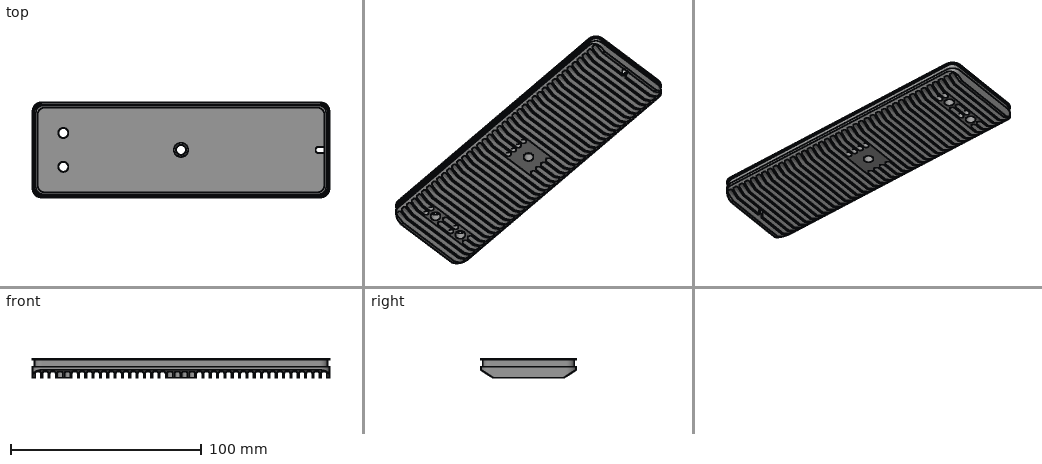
import cadquery as cq

LENGTH = 156.0
WIDTH = 50.0
HEIGHT = 10.0
CORNER_RADIUS = 5.0

BASE_HEIGHT = 6.0
LIP_THICKNESS = 0.5
NECK_INSET = 1.0

BEVEL_HEIGHT = 4.2
BEVEL_WIDTH = 6.5

UPPER_POCKET_INSET = 1.9
UPPER_POCKET_RADIUS = 3.3
LOWER_POCKET_INSET = 2.8
LOWER_POCKET_RADIUS = 3.6
LEDGE_LEVEL = 6.0
FLOOR_LEVEL = 5.0

SLOT_COUNT = 40
SLOT_WIDTH = 3.0
SLOT_DEPTH = 3.3
SLOT_FILLET = 0.8
END_FIN_THICKNESS = 1.5
FIRST_SLOT_X = (SLOT_WIDTH - LENGTH) / 2 + END_FIN_THICKNESS
SLOT_PITCH = -2 * FIRST_SLOT_X / (SLOT_COUNT - 1)

HOLE_DIAMETER = 5.1
PAIR_X = -61.8
PAIR_SPACING = 17.8
COLLAR_DIAMETER = 7.5
COLLAR_HEIGHT = 1.4

PAIR_PAD_HALF_SIZE = SLOT_PITCH
CENTER_PAD_HALF_SIZE = 2 * SLOT_PITCH
PADS = (
    (PAIR_X, -PAIR_SPACING / 2, PAIR_PAD_HALF_SIZE),
    (PAIR_X, PAIR_SPACING / 2, PAIR_PAD_HALF_SIZE),
    (0, 0, CENTER_PAD_HALF_SIZE),
)

NOTCH_WIDTH = 3.0
NOTCH_TIP_X = 70.8
NOTCH_CORNER_RADIUS = 1.0


def rounded_block(inset, corner_radius, bottom, top):
    """Rounded rectangular block whose sides lie `inset` inside the envelope."""
    return (
        cq.Workplane("XY", origin=(0, 0, bottom))
        .rect(LENGTH - 2 * inset, WIDTH - 2 * inset)
        .extrude(top - bottom)
        .edges("|Z")
        .fillet(corner_radius)
    )


def make_shell():
    """Stepped outer body with the stepped tray hollowed out."""
    base = rounded_block(0, CORNER_RADIUS, 0, BASE_HEIGHT)
    neck = rounded_block(NECK_INSET, CORNER_RADIUS - NECK_INSET, BASE_HEIGHT, HEIGHT - LIP_THICKNESS)
    lip = rounded_block(0, CORNER_RADIUS, HEIGHT - LIP_THICKNESS, HEIGHT)
    upper_pocket = rounded_block(UPPER_POCKET_INSET, UPPER_POCKET_RADIUS, LEDGE_LEVEL, HEIGHT)
    lower_pocket = rounded_block(LOWER_POCKET_INSET, LOWER_POCKET_RADIUS, FLOOR_LEVEL, HEIGHT)
    return base.union(neck).union(lip).cut(upper_pocket).cut(lower_pocket)


def make_bevel(side):
    """Triangular prism that bevels the lower edge on the given Y side."""
    edge = side * WIDTH / 2
    return (
        cq.Workplane("YZ", origin=(-LENGTH / 2, 0, 0))
        .polyline([(edge, 0), (edge, BEVEL_HEIGHT), (edge - side * BEVEL_WIDTH, 0)])
        .close()
        .extrude(LENGTH)
    )


def slot_runs(x):
    """Y ranges that the slot at x covers, broken by the pads it meets."""
    free_end = WIDTH / 2 + SLOT_WIDTH
    runs = []
    start = -free_end
    for pad_x, pad_y, half_size in PADS:
        if abs(x - pad_x) < half_size:
            runs.append((start, pad_y - half_size))
            start = pad_y + half_size
    runs.append((start, free_end))
    return runs


def make_slot(x, start, end):
    """Round-ended slot along Y with small fillets along its root."""
    slot = (
        cq.Workplane("XY", origin=(x, (start + end) / 2, 0))
        .slot2D(end - start, SLOT_WIDTH, 90)
        .extrude(SLOT_DEPTH)
    )
    root = (
        cq.Workplane("XZ", origin=(x, end, 0))
        .rect(SLOT_WIDTH, 2 * SLOT_DEPTH)
        .extrude(end - start)
        .edges("|Y and >Z")
        .fillet(SLOT_FILLET)
    )
    return slot.intersect(root).val()


def make_slots():
    """All cooling slots as one group of cutters."""
    cutters = []
    for index in range(SLOT_COUNT):
        x = FIRST_SLOT_X + index * SLOT_PITCH
        for start, end in slot_runs(x):
            cutters.append(make_slot(x, start, end))
    return cq.Workplane(cq.Compound.makeCompound(cutters))


def make_notch():
    """Floor notch with rounded tip corners that reaches the wall of the lower pocket."""
    wall_x = LENGTH / 2 - LOWER_POCKET_INSET
    return (
        cq.Workplane("XY")
        .center((NOTCH_TIP_X + wall_x) / 2, 0)
        .rect(wall_x - NOTCH_TIP_X, NOTCH_WIDTH)
        .extrude(FLOOR_LEVEL)
        .edges("|Z and <X")
        .fillet(NOTCH_CORNER_RADIUS)
    )


body = make_shell()
for y_side in (-1, 1):
    body = body.cut(make_bevel(y_side))
body = body.cut(make_slots())

collar = (
    cq.Workplane("XY", origin=(0, 0, FLOOR_LEVEL))
    .circle(COLLAR_DIAMETER / 2)
    .extrude(COLLAR_HEIGHT)
)
hole_centers = [(pad_x, pad_y) for pad_x, pad_y, _ in PADS]
holes = cq.Workplane("XY").pushPoints(hole_centers).circle(HOLE_DIAMETER / 2).extrude(HEIGHT)

result = body.union(collar).cut(holes).cut(make_notch())